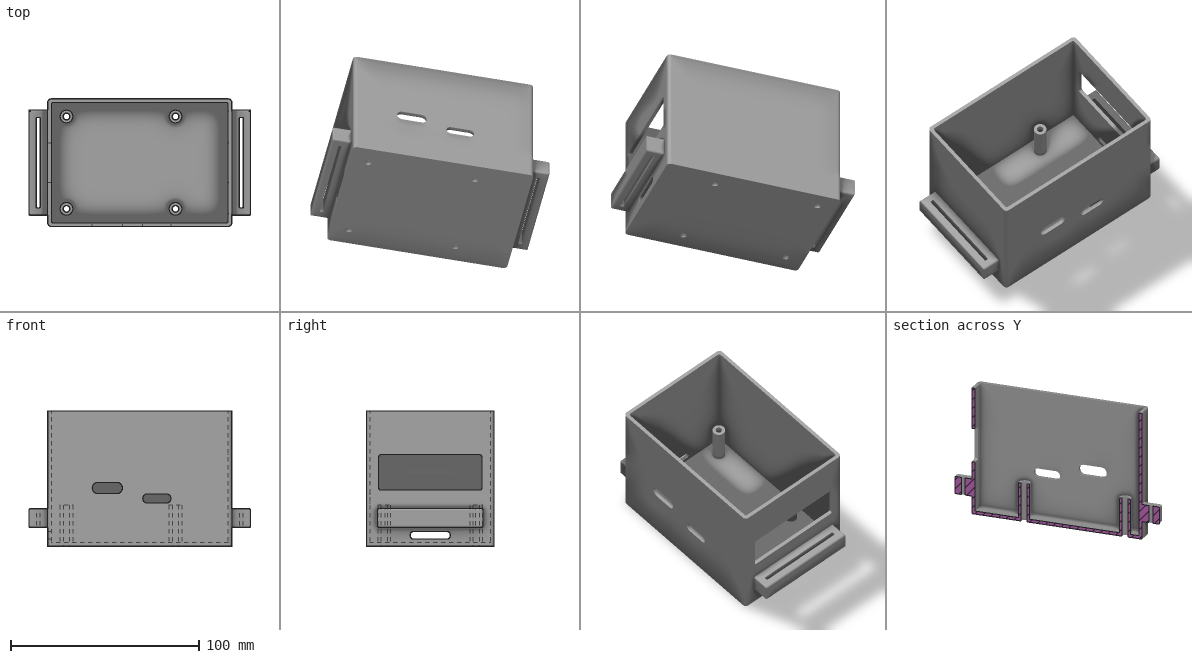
import cadquery as cq

overall_length = 118.0
lug_reach = 10.0

box_length = overall_length - 2 * lug_reach
box_width = 68.0
box_height = 72.0
wall = 2.0
outer_corner_radius = 2.0
inner_corner_radius = 1.0

lug_width = 56.0
lug_height = 10.0
lug_bottom = 10.0
lug_edge_radius = 1.0
strap_slot_length = 48.0
strap_slot_width = 2.0
strap_slot_corner_radius = 0.5

standoff_diameter = 6.7
standoff_hole_diameter = 3.4
standoff_top = 22.0
standoff_xs = (-38.9, 19.0)
standoff_y = 24.5

end_slot_length = 21.0
end_slot_height = 3.9
end_slot_z = 5.9
end_slot_corner_radius = 1.5

connector_slots = (
    (-17.2, 31.0, 16.0, 6.0),
    (9.1, 25.5, 15.0, 5.0),
)

window_width = 54.8
window_height = 18.9
window_bottom = 29.9
window_corner_radius = 1.0


def rounded_prism(plane, origin, size_1, size_2, depth, corner_radius):
    """Rectangle centred on origin, extruded along the plane normal, with rounded corners."""
    prism = cq.Workplane(plane, origin=origin).rect(size_1, size_2).extrude(depth)
    normal_direction = {"XY": "|Z", "YZ": "|X"}[plane]
    return prism.edges(normal_direction).fillet(corner_radius)


def make_box():
    shell = rounded_prism("XY", (0, 0, 0), box_length, box_width, box_height, outer_corner_radius)
    cavity = rounded_prism(
        "XY",
        (0, 0, wall),
        box_length - 2 * wall,
        box_width - 2 * wall,
        box_height - wall,
        inner_corner_radius,
    )
    return shell.cut(cavity)


def standoff_cylinders(diameter):
    points = [(x, y) for x in standoff_xs for y in (-standoff_y, standoff_y)]
    return cq.Workplane("XY").pushPoints(points).circle(diameter / 2).extrude(standoff_top)


def make_end_slot():
    origin = (-box_length / 2, 0, end_slot_z)
    return rounded_prism(
        "YZ", origin, end_slot_length, end_slot_height, box_length, end_slot_corner_radius
    )


def make_window():
    origin = (box_length / 2 - wall, 0, window_bottom + window_height / 2)
    return rounded_prism("YZ", origin, window_width, window_height, wall, window_corner_radius)


def make_connector_slot(center_x, center_z, length, height):
    inner_face_y = -box_width / 2 + wall
    return (
        cq.Workplane("XZ", origin=(center_x, inner_face_y, center_z))
        .slot2D(length, height)
        .extrude(wall)
    )


def make_lug(side):
    """Lug on the -X end (side = -1) or the +X end (side = 1), with a vertical strap slot."""
    origin = (side * (box_length + lug_reach) / 2, 0, lug_bottom)
    blank = cq.Workplane("XY", origin=origin).rect(lug_reach, lug_width).extrude(lug_height)

    outer_face = ">X" if side > 0 else "<X"
    end_edges = blank.faces(outer_face).edges("|Y or <Y").vals()
    long_edges = blank.faces("<Z or >Z").edges("|X").vals()
    rounded = blank.newObject(end_edges + long_edges).fillet(lug_edge_radius)

    strap_slot = rounded_prism(
        "XY", origin, strap_slot_width, strap_slot_length, lug_height, strap_slot_corner_radius
    )
    return rounded.cut(strap_slot)


result = make_box()
result = result.union(standoff_cylinders(standoff_diameter))
result = result.cut(standoff_cylinders(standoff_hole_diameter))
result = result.cut(make_end_slot())
result = result.cut(make_window())
for connector_slot in connector_slots:
    result = result.cut(make_connector_slot(*connector_slot))
for side in (-1, 1):
    result = result.union(make_lug(side))